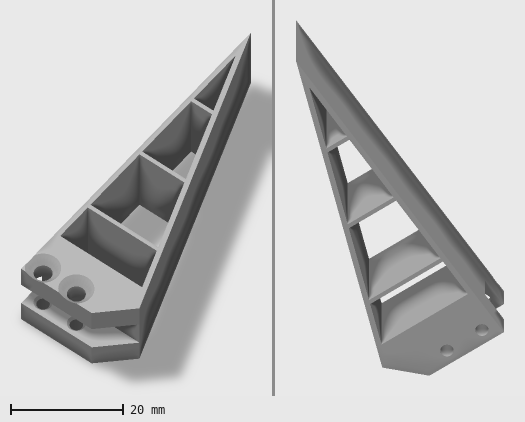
import cadquery as cq
import math

length = 66.45
width = 22.0
height = 15.0
corner_cut = 6.05

wall = 1.0
rib = 0.8
base_depth = 10.0
first_rib_y = 18.0
rib_pitch = 14.95
rib_count = 3

slot_depth = 6.05
slot_height = 5.45
jaw = (height - slot_height) / 2

hole_x = 3.0
hole_pitch = 7.5
hole_y = 2.5
pilot_diameter = 2.4
clearance_diameter = 3.4
countersink_diameter = 6.45
recess_depth = 0.5
countersink_depth = (countersink_diameter - clearance_diameter) / 2

slope = width / (length - corner_cut)
slanted_wall_x = wall * math.hypot(1, slope)


def inner_slope_x(y):
    """X of the inside of the sloping wall at a given Y."""
    return (length - y) * slope - slanted_wall_x


def make_body():
    outline = [
        (0, 0),
        (width - corner_cut, 0),
        (width, corner_cut),
        (0, length),
    ]
    return cq.Workplane("XY").polyline(outline).close().extrude(height)


def make_windows():
    """Triangular opening between the walls, split by the cross ribs."""
    inner_tip_y = length - (wall + slanted_wall_x) / slope
    opening = [
        (wall, base_depth),
        (inner_slope_x(base_depth), base_depth),
        (wall, inner_tip_y),
    ]
    windows = cq.Workplane("XY").polyline(opening).close().extrude(height)
    for i in range(rib_count):
        rib_y = first_rib_y + i * rib_pitch
        bar = cq.Workplane("XY").box(width, rib, height, centered=False)
        windows = windows.cut(bar.translate((0, rib_y, 0)))
    return windows


def make_slot():
    slot = cq.Workplane("XY").box(width, slot_depth, slot_height, centered=False)
    return slot.translate((0, 0, jaw))


def make_screw_cutter(x):
    """Stepped cutter: pilot, recess in the lower jaw, clearance and countersink."""
    pilot_r = pilot_diameter / 2
    clearance_r = clearance_diameter / 2
    profile = [
        (0, 0),
        (pilot_r, 0),
        (pilot_r, jaw - recess_depth),
        (clearance_r, jaw),
        (clearance_r, height - countersink_depth),
        (countersink_diameter / 2, height),
        (0, height),
    ]
    cutter = cq.Workplane("XZ").polyline(profile).close().revolve(360, (0, 0, 0), (0, 1, 0))
    return cutter.translate((x, hole_y, 0))


result = make_body().cut(make_windows()).cut(make_slot())
for x in (hole_x, hole_x + hole_pitch):
    result = result.cut(make_screw_cutter(x))